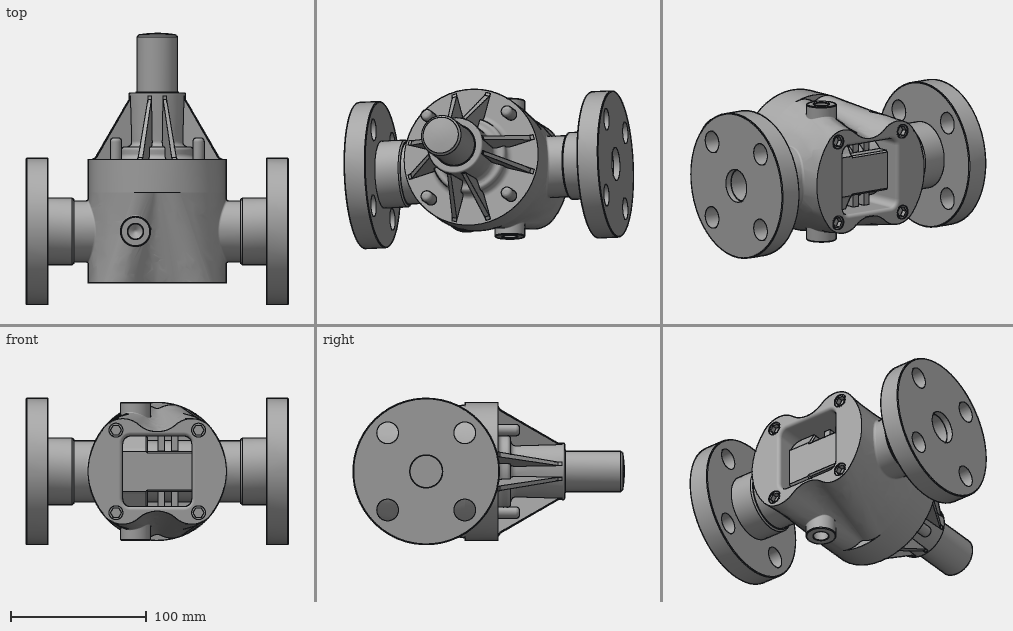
import cadquery as cq
import math


OVERLAP = 2.0

PIPE_LENGTH = 192.8
FLANGE_DIAMETER = 107.9
FLANGE_THICKNESS = 16.2
FLANGE_CHAMFER = 0.5
FLANGE_HOLE_DIAMETER = 16.0
FLANGE_HOLE_OFFSET = 28.4
SOCKET_DIAMETER = 49.3
SOCKET_INNER_END = 61.3
SOCKET_CHAMFER = 1.2
PIPE_DIAMETER = 45.2
PIPE_FILLET = 1.4
MOUTH_DIAMETER = 24.4
MOUTH_DEPTH = 4.8
BORE_DIAMETER = 23.8
BORE_INNER_END = 40.0

BODY_DIAMETER = 101.7
BODY_RADIUS = BODY_DIAMETER / 2
FACE_Y = -37.8
BODY_TOP_Y = 28.5
LOBE_RADIUS = 18.0
FACE_LOBE_ANGLE = 39.3
FACE_WAIST = 29.2
TOP_LOBE_ANGLE = 70.7
TOP_WAIST = 46.3

PORT_X = -16.0
PORT_DIAMETER = 22.2
PORT_ROOT_Z = 28.0
PORT_CHAMFER = 0.5
PORT_FILLET = 0.5
PORT_HOLE_DIAMETER = 11.2
PORT_HOLE_CHAMFER = 0.4
PORT_HOLE_DEPTH = 12.0
DRILL_HALF_ANGLE = 59.0

WINDOW_WIDTH = 50.7
WINDOW_HEIGHT = 52.0
WINDOW_CORNER = 5.8
WINDOW_FILLET = 2.8
WINDOW_FLOOR_Y = 0.0
BLOCK_FACE_Y = -26.0
BLOCK_HALF_HEIGHT = 14.8
BLOCK_CHAMFER = 1.2
WEDGE_HALF_HEIGHT = 16.8
WEDGE_END_X = -7.0
WEDGE_CHAMFER = 1.2
WEDGE_EDGE_Y = -24.0
WEDGE_BACK_Y = -18.5
RIB_FACE_Y = -17.0
RIB_THICKNESS = 5.0
RIB_STARTS = (0.4, 10.4)

SCREW_OFFSET = 30.4
SCREW_HEAD_DIAMETER = 10.2
SCREW_SEAT_DEPTH = 1.0
HEX_FLATS = 7.0
HEX_DEPTH = 4.0
SCREW_DIAMETER = 8.4
SCREW_TIP_Y = 68.7
SCREW_TIP_FILLET = 2.5

BONNET_TOP_Y = 53.0
SEAT_RADIUS = 28.0
SEAT_TOP_Y = 62.1
SEAT_ROUND = 2.5
SEAT_FILLET = 4.0
NECK_ROOT_RADIUS = 20.0
NECK_FILLET = 4.0
COLLAR_DIAMETER = 41.8
COLLAR_TOP_Y = 101.9
COLLAR_ROUND = 1.2
RING_RADIUS = 15.5
RING_TOP_Y = 102.5
SPINDLE_DIAMETER = 30.0
SPINDLE_EDGE_Y = 143.0
SPINDLE_CHAMFER = 1.5
SPINDLE_TIP_Y = 145.8

WEB_ANGLE = 15.3
WEB_ROOT_THICKNESS = 3.5
WEB_TOP_THICKNESS = 2.5
WEB_TOP_Y = 99.7
WEB_TIP_RADIUS = 21.2
WEB_FOOT_RADIUS = 46.7
WEB_FOOT_FLARE = 2.4
WEB_TIP_Y = 97.0


def body_outline(y, lobe_angle, waist):
    """Closed outline across Y: two circular sides, four convex lobes and two waists."""
    angle = math.radians(lobe_angle)
    side_x = BODY_RADIUS * math.cos(angle)
    side_z = BODY_RADIUS * math.sin(angle)
    lobe_x = (BODY_RADIUS - LOBE_RADIUS) * math.cos(angle)
    lobe_z = (BODY_RADIUS - LOBE_RADIUS) * math.sin(angle)

    rise = waist - lobe_z
    waist_radius = (lobe_x**2 + rise**2 - LOBE_RADIUS**2) / (2 * (LOBE_RADIUS - rise))
    share = LOBE_RADIUS / (LOBE_RADIUS + waist_radius)
    join_x = lobe_x * (1 - share)
    join_z = lobe_z + share * (rise + waist_radius)

    join_angle = math.atan2(join_z - lobe_z, join_x - lobe_x)
    middle = (angle + join_angle) / 2
    mid_x = lobe_x + LOBE_RADIUS * math.cos(middle)
    mid_z = lobe_z + LOBE_RADIUS * math.sin(middle)

    def point(x, z):
        return cq.Vector(x, y, z)

    def arc(start, through, end):
        return cq.Edge.makeThreePointArc(point(*start), point(*through), point(*end))

    return cq.Wire.assembleEdges([
        arc((side_x, -side_z), (BODY_RADIUS, 0), (side_x, side_z)),
        arc((side_x, side_z), (mid_x, mid_z), (join_x, join_z)),
        arc((join_x, join_z), (0, waist), (-join_x, join_z)),
        arc((-join_x, join_z), (-mid_x, mid_z), (-side_x, side_z)),
        arc((-side_x, side_z), (-BODY_RADIUS, 0), (-side_x, -side_z)),
        arc((-side_x, -side_z), (-mid_x, -mid_z), (-join_x, -join_z)),
        arc((-join_x, -join_z), (0, -waist), (join_x, -join_z)),
        arc((join_x, -join_z), (mid_x, -mid_z), (side_x, -side_z)),
    ])


def across_y(y):
    """Workplane at height y, facing +Y, with its local y pointing to -Z."""
    return cq.Workplane("XZ", origin=(0, y, 0)).transformed(rotate=(180, 0, 0))


def box_between(x0, x1, y0, y1, z0, z1):
    return cq.Workplane("XY").box(x1 - x0, y1 - y0, z1 - z0, centered=False).translate((x0, y0, z0))


def x_cylinder(diameter, x0, x1):
    return cq.Workplane("YZ", origin=(x0, 0, 0)).circle(diameter / 2).extrude(x1 - x0)


def make_body():
    face = body_outline(FACE_Y, FACE_LOBE_ANGLE, FACE_WAIST)
    top = body_outline(BODY_TOP_Y, TOP_LOBE_ANGLE, TOP_WAIST)
    return cq.Workplane(cq.Solid.makeLoft([face, top], True))


def make_pipe_run():
    """Both end flanges, sockets and pipe stubs."""
    half = PIPE_LENGTH / 2
    side = x_cylinder(PIPE_DIAMETER, BORE_INNER_END - OVERLAP, half)
    socket = x_cylinder(SOCKET_DIAMETER, SOCKET_INNER_END, half).edges("<X").chamfer(SOCKET_CHAMFER)
    flange = (
        x_cylinder(FLANGE_DIAMETER, half - FLANGE_THICKNESS, half)
        .edges().chamfer(FLANGE_CHAMFER)
    )
    flange = (
        flange.faces(">X").workplane(centerOption="CenterOfBoundBox")
        .rect(2 * FLANGE_HOLE_OFFSET, 2 * FLANGE_HOLE_OFFSET, forConstruction=True)
        .vertices().hole(FLANGE_HOLE_DIAMETER)
    )
    side = side.union(socket).union(flange)
    return side.union(side.mirror("YZ"))


def make_bores():
    """Blind bore from each flange, with a slightly wider mouth."""
    half = PIPE_LENGTH / 2
    bore = x_cylinder(BORE_DIAMETER, BORE_INNER_END, half)
    bore = bore.union(x_cylinder(MOUTH_DIAMETER, half - MOUTH_DEPTH, half))
    return bore.union(bore.mirror("YZ"))


def make_port():
    return (
        cq.Workplane("XY", origin=(PORT_X, 0, PORT_ROOT_Z))
        .circle(PORT_DIAMETER / 2).extrude(BODY_RADIUS - PORT_ROOT_Z)
        .faces(">Z").edges().chamfer(PORT_CHAMFER)
    )


def make_port_hole():
    """Drilled hole with a chamfered mouth and a conical bottom."""
    radius = PORT_HOLE_DIAMETER / 2
    shoulder_z = BODY_RADIUS - PORT_HOLE_DEPTH
    tip_z = shoulder_z - radius / math.tan(math.radians(DRILL_HALF_ANGLE))
    profile = [
        (0, tip_z), (radius, shoulder_z), (radius, BODY_RADIUS - PORT_HOLE_CHAMFER),
        (radius + PORT_HOLE_CHAMFER, BODY_RADIUS), (0, BODY_RADIUS),
    ]
    hole = cq.Workplane("XZ").polyline(profile).close().revolve(360, (0, 0), (0, 1))
    return hole.translate((PORT_X, 0, 0))


def cut_window(body):
    """Cut a rounded rectangular pocket into the face and round its mouth."""
    pocket = (
        across_y(FACE_Y).rect(WINDOW_WIDTH, WINDOW_HEIGHT)
        .extrude(WINDOW_FLOOR_Y - FACE_Y).edges("|Y").fillet(WINDOW_CORNER)
    )
    reach_x = (WINDOW_WIDTH + WINDOW_FILLET) / 2
    reach_z = (WINDOW_HEIGHT + WINDOW_FILLET) / 2
    mouth = cq.selectors.BoxSelector(
        (-reach_x, FACE_Y - WINDOW_FILLET / 2, -reach_z),
        (reach_x, FACE_Y + WINDOW_FILLET / 2, reach_z),
    )
    return body.cut(pocket).edges(mouth).fillet(WINDOW_FILLET)


def make_window_contents():
    """Central block, two ribs, a wedge at -X and the pipe, all rising from the pocket floor."""
    half_width = WINDOW_WIDTH / 2
    half_height = WINDOW_HEIGHT / 2
    root_y = WINDOW_FLOOR_Y + OVERLAP
    contents = x_cylinder(PIPE_DIAMETER, -half_width, half_width)
    block = box_between(
        -half_width, half_width, BLOCK_FACE_Y, root_y, -BLOCK_HALF_HEIGHT, BLOCK_HALF_HEIGHT
    )
    contents = contents.union(block.faces("<Y").edges("|X").chamfer(BLOCK_CHAMFER))
    for start in RIB_STARTS:
        contents = contents.union(box_between(
            start, start + RIB_THICKNESS, RIB_FACE_Y, root_y, -half_height, half_height
        ))
    wedge_profile = [
        (root_y, half_height), (WEDGE_BACK_Y, half_height), (WEDGE_EDGE_Y, WEDGE_HALF_HEIGHT),
        (BLOCK_FACE_Y, BLOCK_HALF_HEIGHT), (BLOCK_FACE_Y, -BLOCK_HALF_HEIGHT),
        (WEDGE_EDGE_Y, -WEDGE_HALF_HEIGHT), (WEDGE_BACK_Y, -half_height), (root_y, -half_height),
    ]
    wedge = (
        cq.Workplane("YZ", origin=(-half_width, 0, 0))
        .polyline(wedge_profile).close().extrude(WEDGE_END_X + half_width)
        .faces(">X").edges("not(|Z)").chamfer(WEDGE_CHAMFER)
    )
    return contents.union(wedge)


def make_bonnet():
    """Turned bonnet: flange, seat, tapering neck, collar and spindle housing."""
    collar_radius = COLLAR_DIAMETER / 2
    spindle_radius = SPINDLE_DIAMETER / 2
    spindle_end_y = SPINDLE_EDGE_Y + SPINDLE_CHAMFER
    profile = (
        cq.Workplane("XY").moveTo(0, BODY_TOP_Y)
        .lineTo(BODY_RADIUS, BODY_TOP_Y)
        .lineTo(BODY_RADIUS, BONNET_TOP_Y)
        .lineTo(SEAT_RADIUS + SEAT_FILLET, BONNET_TOP_Y)
        .radiusArc((SEAT_RADIUS, BONNET_TOP_Y + SEAT_FILLET), SEAT_FILLET)
        .lineTo(SEAT_RADIUS, SEAT_TOP_Y - SEAT_ROUND)
        .radiusArc((SEAT_RADIUS - SEAT_ROUND, SEAT_TOP_Y), -SEAT_ROUND)
        .lineTo(NECK_ROOT_RADIUS + NECK_FILLET, SEAT_TOP_Y)
        .radiusArc((NECK_ROOT_RADIUS, SEAT_TOP_Y + NECK_FILLET), NECK_FILLET)
        .lineTo(collar_radius, COLLAR_TOP_Y - COLLAR_ROUND)
        .radiusArc((collar_radius - COLLAR_ROUND, COLLAR_TOP_Y), -COLLAR_ROUND)
        .lineTo(RING_RADIUS, COLLAR_TOP_Y)
        .lineTo(RING_RADIUS, RING_TOP_Y)
        .lineTo(spindle_radius, RING_TOP_Y)
        .lineTo(spindle_radius, SPINDLE_EDGE_Y)
        .lineTo(spindle_radius - SPINDLE_CHAMFER, spindle_end_y)
    )
    dome_rise = SPINDLE_TIP_Y - spindle_end_y
    dome_chord = spindle_radius - SPINDLE_CHAMFER
    dome_radius = (dome_chord**2 + dome_rise**2) / (2 * dome_rise)
    dome_x = dome_chord / 2
    dome_y = SPINDLE_TIP_Y - dome_radius + math.sqrt(dome_radius**2 - dome_x**2)
    profile = profile.threePointArc((dome_x, dome_y), (0, SPINDLE_TIP_Y)).close()
    return profile.revolve(360, (0, 0), (0, 1))


def make_webs():
    """Radial webs, thinner towards the collar, two at each quarter turn."""
    inner_radius = NECK_ROOT_RADIUS - OVERLAP
    root_y = BONNET_TOP_Y - OVERLAP
    slope = math.atan2(WEB_TIP_Y - BONNET_TOP_Y, WEB_FOOT_RADIUS - WEB_TIP_RADIUS)
    outline = (
        cq.Workplane("XY").moveTo(inner_radius, root_y)
        .lineTo(WEB_FOOT_RADIUS + WEB_FOOT_FLARE, root_y)
        .lineTo(WEB_FOOT_RADIUS + WEB_FOOT_FLARE, BONNET_TOP_Y)
        .lineTo(WEB_FOOT_RADIUS, BONNET_TOP_Y + WEB_FOOT_FLARE * math.tan(slope / 2))
        .lineTo(WEB_TIP_RADIUS, WEB_TIP_Y)
        .lineTo(WEB_TIP_RADIUS, WEB_TOP_Y)
        .lineTo(inner_radius, WEB_TOP_Y)
        .close().extrude(WEB_ROOT_THICKNESS, both=True)
    )
    section = [
        (root_y, -WEB_ROOT_THICKNESS / 2), (root_y, WEB_ROOT_THICKNESS / 2),
        (WEB_TOP_Y, WEB_TOP_THICKNESS / 2), (WEB_TOP_Y, -WEB_TOP_THICKNESS / 2),
    ]
    taper = cq.Workplane("YZ").polyline(section).close().extrude(BODY_RADIUS)
    web = outline.intersect(taper)
    webs = cq.Workplane("XY")
    for quarter in range(4):
        for lean in (-WEB_ANGLE, WEB_ANGLE):
            webs = webs.union(web.rotate((0, 0, 0), (0, 1, 0), 90 * quarter + lean))
    return webs


def screws_at(y):
    return across_y(y).rect(2 * SCREW_OFFSET, 2 * SCREW_OFFSET, forConstruction=True).vertices()


def make_screw_ends():
    ends = screws_at(BODY_TOP_Y).circle(SCREW_DIAMETER / 2).extrude(SCREW_TIP_Y - BODY_TOP_Y)
    return ends.faces(">Y").edges().fillet(SCREW_TIP_FILLET)


def make_screw_heads():
    """Recessed screw seats with hexagon sockets."""
    seats = screws_at(FACE_Y).circle(SCREW_HEAD_DIAMETER / 2).extrude(SCREW_SEAT_DEPTH)
    corner_diameter = HEX_FLATS / math.cos(math.radians(30))
    sockets = screws_at(FACE_Y).polygon(6, corner_diameter).extrude(SCREW_SEAT_DEPTH + HEX_DEPTH)
    return seats.union(sockets)


def round_pipe_joints(body):
    """Fillet where each pipe stub meets the body."""
    stubs = body.faces("%CYLINDER").faces(cq.selectors.BoxSelector(
        (-SOCKET_INNER_END, -BODY_RADIUS, -BODY_RADIUS), (SOCKET_INNER_END, BODY_RADIUS, BODY_RADIUS)
    ))
    return stubs.edges("not(%CIRCLE or %LINE)").fillet(PIPE_FILLET)


def add_ports(body):
    """Add the upper and lower port, each with a fillet around its root."""
    port = make_port()
    body = body.union(port).union(port.mirror("XY"))
    reach = PORT_DIAMETER / 2
    bosses = body.faces("%CYLINDER").faces(cq.selectors.BoxSelector(
        (PORT_X - reach, -reach, -BODY_RADIUS), (PORT_X + reach, reach, BODY_RADIUS)
    ))
    return bosses.edges("not(%CIRCLE or %LINE)").fillet(PORT_FILLET)


result = round_pipe_joints(make_body().union(make_pipe_run()))
result = add_ports(result)
result = cut_window(result).union(make_window_contents())
result = result.union(make_bonnet()).union(make_webs()).union(make_screw_ends())
result = result.cut(make_bores())

port_hole = make_port_hole()
result = result.cut(port_hole).cut(port_hole.mirror("XY"))
result = result.cut(make_screw_heads())